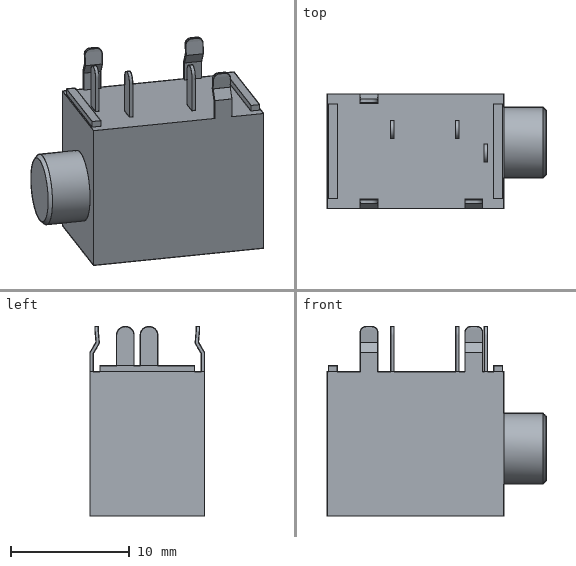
import cadquery as cq
import math

body_length = 14.91
body_width = 9.7
body_height = 12.2

overall_length = 18.5
barrel_length = overall_length - body_length
barrel_diameter = 6.0
barrel_center_y = 0.74
barrel_center_z = 5.7
barrel_chamfer = 0.3

rail_width = 0.75
rail_length = 8.0
rail_height = 0.5
rail_end_gap = 0.11

overall_height = 16.0
terminal_height = overall_height - body_height
terminal_width = 1.5
terminal_thickness = 0.3

pin_centers = [(5.51, 1.85), (10.99, 1.85), (13.4, -0.15)]

rear_clip_x = 3.53
front_clip_x = 12.38
clip_lower_bend = 1.61
clip_upper_bend = 2.48
clip_tip_bend = 3.52
clip_waist_inset = 0.52
clip_tip_inset = 0.43
clip_tip_radius = 0.5


def make_barrel():
    return (
        cq.Workplane("YZ", origin=(body_length, barrel_center_y, barrel_center_z))
        .circle(barrel_diameter / 2)
        .extrude(barrel_length)
        .faces(">X")
        .chamfer(barrel_chamfer)
    )


def make_rail(center_x):
    return (
        cq.Workplane("XY", origin=(center_x, 0, body_height))
        .rect(rail_width, rail_length)
        .extrude(rail_height)
    )


def make_pin(center_x, center_y):
    """Flat terminal with a fully rounded top."""
    radius = terminal_width / 2
    straight_height = terminal_height - radius
    return (
        cq.Workplane("YZ", origin=(center_x - terminal_thickness / 2, center_y, body_height))
        .moveTo(-radius, 0)
        .lineTo(-radius, straight_height)
        .threePointArc((0, terminal_height), (radius, straight_height))
        .lineTo(radius, 0)
        .close()
        .extrude(terminal_thickness)
    )


def make_clip(center_x):
    """Bent clip flush with the -Y side, stepping inward and ending in a rounded tip."""
    slope_angle = math.atan2(clip_waist_inset, clip_upper_bend - clip_lower_bend)
    bend_drop = terminal_thickness * math.tan(slope_angle / 2)
    outer = [
        (0, 0),
        (0, clip_lower_bend),
        (clip_waist_inset, clip_upper_bend),
        (clip_tip_inset, clip_tip_bend),
        (clip_tip_inset, terminal_height),
    ]
    inner = [
        (terminal_thickness, 0),
        (terminal_thickness, clip_lower_bend - bend_drop),
        (clip_waist_inset + terminal_thickness, clip_upper_bend - bend_drop),
        (clip_tip_inset + terminal_thickness, clip_tip_bend),
        (clip_tip_inset + terminal_thickness, terminal_height),
    ]
    bent_strip = (
        cq.Workplane("YZ", origin=(center_x - terminal_width / 2, -body_width / 2, body_height))
        .polyline(outer + inner[::-1])
        .close()
        .extrude(terminal_width)
    )
    rounded_outline = (
        cq.Workplane("XY", origin=(center_x, 0, body_height))
        .box(terminal_width, body_width, terminal_height, centered=(True, True, False))
        .edges("|Y and >Z")
        .fillet(clip_tip_radius)
    )
    return bent_strip.intersect(rounded_outline)


result = cq.Workplane("XY").box(
    body_length, body_width, body_height, centered=(False, True, False)
)
result = result.union(make_barrel())

rail_offset = rail_end_gap + rail_width / 2
for rail_x in (rail_offset, body_length - rail_offset):
    result = result.union(make_rail(rail_x))

for pin_x, pin_y in pin_centers:
    result = result.union(make_pin(pin_x, pin_y))

for clip_x in (rear_clip_x, front_clip_x):
    result = result.union(make_clip(clip_x))

result = result.union(make_clip(rear_clip_x).mirror("XZ"))